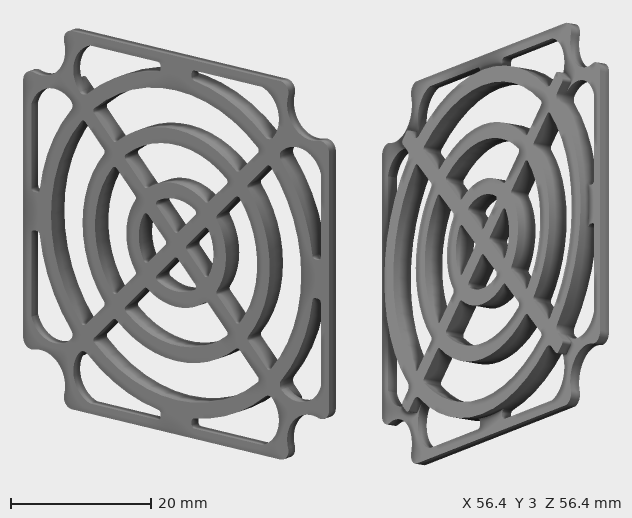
import cadquery as cq
import math

SIDE = 56.4
PLATE_THICKNESS = 1.5
DEPTH = 3.0

BAR_WIDTH = 2.3
HALF_BAR = BAR_WIDTH / 2
SLOT_OUTER_RADII = (6.9, 14.95, 23.05)
GRILLE_RADIUS = SLOT_OUTER_RADII[-1] + BAR_WIDTH
SPOKE_LENGTH = 56.95
SMALL_FILLET = 0.5
RIM_FILLET = 1.0

NOTCH_CENTER = 25.0
NOTCH_RADIUS = 4.5
NOTCH_EDGE_FILLET = 1.5

BORDER_WIDTH = 1.5
BRIDGE_WIDTH = 5.75
LOBE_RADIUS = 4.45
LOBE_REACH = 18.95

QUARTER_TURNS = (0, 90, 180, 270)


def front_face():
    """Workplane on the front face: local x is -X, local y is Z, extrusion runs along +Y."""
    return cq.Workplane(cq.Plane(origin=(0, 0, 0), xDir=(-1, 0, 0), normal=(0, 1, 0)))


def turned(solid, angle):
    """Turn a solid about the grille axis."""
    return solid.rotate((0, 0, 0), (0, 1, 0), angle)


def on_circle(radius, angle):
    return radius * math.cos(angle), radius * math.sin(angle)


def chord_reach(radius, offset):
    """Distance along a line, at a given offset from the center, to a circle."""
    return math.sqrt(radius**2 - offset**2)


def notched_plate():
    half = SIDE / 2
    tip = NOTCH_CENTER - chord_reach(NOTCH_RADIUS, half - NOTCH_CENTER)
    deepest = NOTCH_CENTER - NOTCH_RADIUS / math.sqrt(2)
    outline = (
        front_face()
        .moveTo(-tip, half)
        .lineTo(tip, half)
        .threePointArc((deepest, deepest), (half, tip))
        .lineTo(half, -tip)
        .threePointArc((deepest, -deepest), (tip, -half))
        .lineTo(-tip, -half)
        .threePointArc((-deepest, -deepest), (-half, -tip))
        .lineTo(-half, tip)
        .threePointArc((-deepest, deepest), (-tip, half))
        .close()
    )
    return outline.extrude(PLATE_THICKNESS).edges("|Y").fillet(NOTCH_EDGE_FILLET)


def grille_disc():
    """Full-depth round disc with the spoke ends standing out past its rim."""
    disc = front_face().circle(GRILLE_RADIUS).extrude(DEPTH)
    for spoke_size in ((SPOKE_LENGTH, BAR_WIDTH), (BAR_WIDTH, SPOKE_LENGTH)):
        spoke = front_face().rect(*spoke_size).extrude(DEPTH).edges("|Y").fillet(SMALL_FILLET)
        disc = disc.union(spoke)

    rim_reach = chord_reach(GRILLE_RADIUS, HALF_BAR)
    for x, z in ((rim_reach, HALF_BAR), (HALF_BAR, rim_reach)):
        for x_sign, z_sign in ((1, 1), (1, -1), (-1, 1), (-1, -1)):
            corner = cq.selectors.NearestToPointSelector((x_sign * x, DEPTH / 2, z_sign * z))
            disc = disc.edges("|Y").edges(corner).fillet(RIM_FILLET)
    return turned(disc, 45)


def grille_slot(inner_radius, outer_radius):
    """Opening between two rings, in the quadrant between spokes lying on the local axes."""
    outer_reach = chord_reach(outer_radius, HALF_BAR)
    outline = (
        front_face()
        .moveTo(HALF_BAR, outer_reach)
        .threePointArc(on_circle(outer_radius, math.pi / 4), (outer_reach, HALF_BAR))
    )
    if inner_radius > 0:
        inner_reach = chord_reach(inner_radius, HALF_BAR)
        outline = outline.lineTo(inner_reach, HALF_BAR).threePointArc(
            on_circle(inner_radius, math.pi / 4), (HALF_BAR, inner_reach)
        )
    else:
        outline = outline.lineTo(HALF_BAR, HALF_BAR)
    slot = outline.close().extrude(DEPTH).edges("|Y").fillet(SMALL_FILLET)
    return turned(slot, 45)


def border_opening(disc):
    """Opening in the plate beside the top border, ending in a round lobe at the corner."""
    near = BRIDGE_WIDTH / 2
    top = SIDE / 2 - BORDER_WIDTH

    lobe_x = LOBE_REACH - LOBE_RADIUS
    lobe_y = lobe_x + (HALF_BAR + LOBE_RADIUS) * math.sqrt(2)
    lobe_start_x = lobe_x + chord_reach(LOBE_RADIUS, top - lobe_y)
    touch_x, touch_y = on_circle(LOBE_RADIUS, -math.pi / 4)

    blank = (
        front_face()
        .moveTo(near, top)
        .lineTo(lobe_start_x, top)
        .threePointArc((LOBE_REACH, lobe_y), (lobe_x + touch_x, lobe_y + touch_y))
        .lineTo(near, near)
        .close()
        .extrude(DEPTH)
    )
    opening = blank.cut(disc)

    rim_at_bridge = chord_reach(GRILLE_RADIUS, near)
    for corner_height in (top, rim_at_bridge):
        corner = cq.selectors.NearestToPointSelector((-near, DEPTH / 2, corner_height))
        opening = opening.edges("|Y").edges(corner).fillet(SMALL_FILLET)
    return opening


disc = grille_disc()
opening = border_opening(disc)

slot_inner_radii = [0] + [radius + BAR_WIDTH for radius in SLOT_OUTER_RADII[:-1]]
cutouts = [grille_slot(inner, outer) for inner, outer in zip(slot_inner_radii, SLOT_OUTER_RADII)]
cutouts += [opening, opening.mirror("YZ")]

result = notched_plate().union(disc)
for cutout in cutouts:
    for angle in QUARTER_TURNS:
        result = result.cut(turned(cutout, angle))